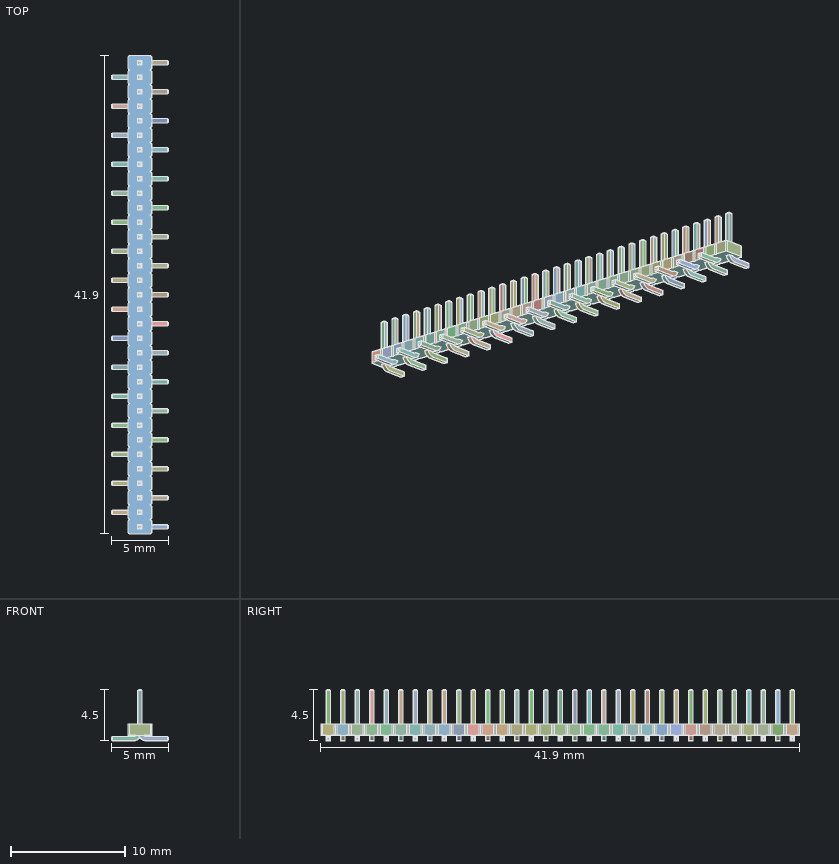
import cadquery as cq

pin_count = 33
pitch = 1.27

body_width = 2.1
body_height = 1.0
body_bottom = 0.5
corner_chamfer = pitch / 10

wire = 0.4
pin_top = 4.5
tail_reach = 2.5
inner_bend_radius = 0.4
outer_bend_radius = inner_bend_radius + wire
tip_chamfer = 0.1


def pin_y(index):
    """Y position of a pin, with the row centred on the origin."""
    return (index - (pin_count - 1) / 2) * pitch


def make_body_cell():
    """One body position: a block with chamfered vertical edges."""
    cell = cq.Workplane("XY").box(body_width, pitch, body_height, centered=(True, True, False))
    return cell.edges("|Z").chamfer(corner_chamfer).translate((0, 0, body_bottom))


def make_pin():
    """L-shaped pin on the Z axis with its tail toward +X and resting on Z = 0; both ends are chamfered."""
    half = wire / 2
    pin = (
        cq.Workplane("XZ")
        .moveTo(-half, pin_top)
        .lineTo(-half, outer_bend_radius)
        .radiusArc((outer_bend_radius - half, 0), -outer_bend_radius)
        .lineTo(tail_reach, 0)
        .lineTo(tail_reach, wire)
        .lineTo(half + inner_bend_radius, wire)
        .radiusArc((half, wire + inner_bend_radius), inner_bend_radius)
        .lineTo(half, pin_top)
        .close()
        .extrude(half, both=True)
    )
    return pin.faces(">Z or >X").chamfer(tip_chamfer)


body_cell = make_body_cell()
right_pin = make_pin()
left_pin = right_pin.rotate((0, 0, 0), (0, 0, 1), 180)

pieces = []
for index in range(pin_count):
    pin = right_pin if index % 2 == 0 else left_pin
    offset = (0, pin_y(index), 0)
    pieces.append(body_cell.translate(offset).val())
    pieces.append(pin.translate(offset).val())

result = cq.Workplane(pieces[0].fuse(*pieces[1:]).clean())